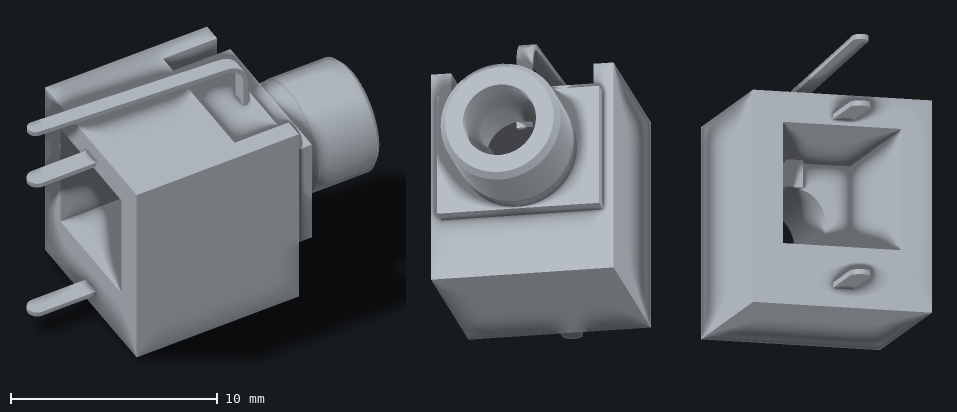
import cadquery as cq
import math


housing_width = 9.0
housing_length = 9.0
housing_top = 4.5
housing_bottom = -6.0
cavity_size = 6.0
ear_span = 8.0
ear_length = 1.0
slot_width = 7.02
slot_length = 3.0
slot_depth = 1.0

bore_diameter = 3.6
neck_diameter = 5.83
neck_length = 1.0
collar_diameter = 5.92
collar_chamfer = 0.29

overall_length = 18.0
overall_height = 12.8
strip_thickness = 0.25
lead_length = 3.5
pin_width = 1.0
pin_levels = (3.38, -4.95)
terminal_width = 0.8
terminal_inset = 0.5
terminal_bottom = 1.65
terminal_bend_radius = 1.25
terminal_slope = math.radians(3.0)

mount_face = housing_length
ear_end = mount_face + ear_length
neck_end = ear_end + neck_length
collar_end = overall_length - lead_length
terminal_back = mount_face - terminal_inset
terminal_top = housing_bottom + overall_height


def block(width, y_start, y_end, z_low, z_high):
    """A box centred on X between the given Y and Z limits."""
    return (
        cq.Workplane("XY")
        .box(width, y_end - y_start, z_high - z_low, centered=(True, False, False))
        .translate((0, y_start, z_low))
    )


def cylinder(diameter, y_start, y_end):
    """A cylinder on the socket axis between the given Y limits."""
    return (
        cq.Workplane("XZ", origin=(0, y_start, 0))
        .circle(diameter / 2)
        .extrude(y_start - y_end)
    )


def make_housing():
    """Square-bored case with two side ears, a top slot and a terminal hole."""
    half_cavity = cavity_size / 2
    slot_floor = housing_top - slot_depth
    case = block(housing_width, 0, mount_face, housing_bottom, housing_top)
    ears = block(ear_span, mount_face, ear_end, -half_cavity, half_cavity)
    cavity = block(cavity_size, 0, ear_end, -half_cavity, half_cavity)
    slot = block(slot_width, mount_face - slot_length, mount_face, slot_floor, housing_top)
    terminal_hole = block(
        terminal_width, terminal_back - strip_thickness, terminal_back, 0, housing_top
    )
    return case.union(ears).cut(cavity).cut(slot).cut(terminal_hole)


def make_bushing():
    """Square flange between the ears, carrying the round neck."""
    half_flange = cavity_size / 2
    flange = block(cavity_size, mount_face, ear_end, -half_flange, half_flange)
    neck = cylinder(neck_diameter, ear_end, neck_end)
    return flange.union(neck).cut(cylinder(bore_diameter, mount_face, neck_end))


def make_collar():
    """Round barrel end with a chamfered outer rim."""
    barrel = cylinder(collar_diameter, neck_end, collar_end)
    barrel = barrel.faces(">Y").chamfer(collar_chamfer)
    return barrel.cut(cylinder(bore_diameter, neck_end, collar_end))


def rounded_strip(width, y_end, z_low, z_high):
    """A flat strip from the lead tip to y_end, with a semicircular tip."""
    radius = width / 2
    return (
        cq.Workplane("XY", origin=(0, 0, z_low))
        .moveTo(-radius, y_end)
        .lineTo(-radius, radius - lead_length)
        .threePointArc((0, -lead_length), (radius, radius - lead_length))
        .lineTo(radius, y_end)
        .close()
        .extrude(z_high - z_low)
    )


def make_pin(level):
    """A straight solder pin standing on the front face of the housing."""
    half_thickness = strip_thickness / 2
    return rounded_strip(pin_width, 0, level - half_thickness, level + half_thickness)


def make_terminal():
    """A bent strip: an upright leg, a bend and a long arm rising to the tip."""
    outer = terminal_bend_radius
    inner = outer - strip_thickness
    centre_y = terminal_back - outer
    centre_z = (
        terminal_top
        - outer / math.cos(terminal_slope)
        - (centre_y + lead_length) * math.tan(terminal_slope)
    )
    arm_drop = strip_thickness / math.cos(terminal_slope)
    arm_angle = math.pi / 2 - terminal_slope
    mid_angle = arm_angle / 2

    def on_bend(radius, angle):
        return (centre_y + radius * math.cos(angle), centre_z + radius * math.sin(angle))

    bent_strip = (
        cq.Workplane("YZ", origin=(-terminal_width / 2, 0, 0))
        .moveTo(terminal_back, terminal_bottom)
        .lineTo(*on_bend(outer, 0))
        .threePointArc(on_bend(outer, mid_angle), on_bend(outer, arm_angle))
        .lineTo(-lead_length, terminal_top)
        .lineTo(-lead_length, terminal_top - arm_drop)
        .lineTo(*on_bend(inner, arm_angle))
        .threePointArc(on_bend(inner, mid_angle), on_bend(inner, 0))
        .lineTo(terminal_back - strip_thickness, terminal_bottom)
        .close()
        .extrude(terminal_width)
    )
    plan = rounded_strip(terminal_width, mount_face, terminal_bottom, terminal_top)
    return bent_strip.intersect(plan)


housing = make_housing()
bushing = make_bushing()
collar = make_collar()
terminal = make_terminal()
pins = [make_pin(level) for level in pin_levels]

result = cq.Compound.makeCompound(
    [
        housing.solids().val(),
        bushing.solids().val(),
        collar.solids().val(),
        terminal.solids().val(),
        *[pin.val() for pin in pins],
    ]
)